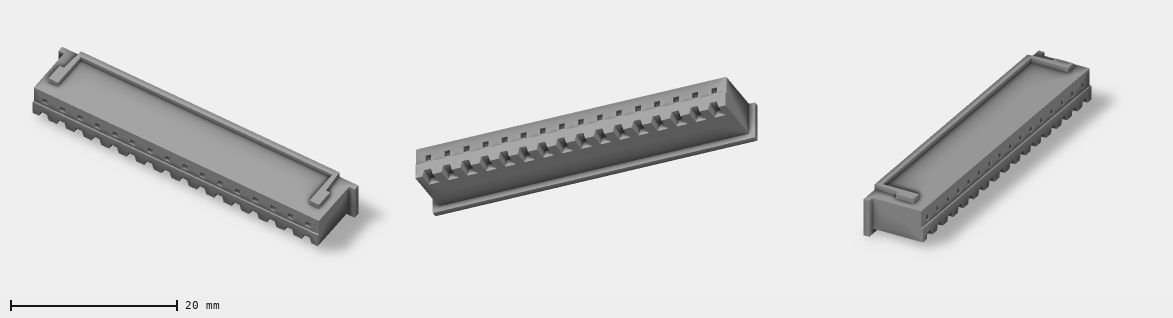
import cadquery as cq
import math

overall_height = 5.7
flange_length = 42.3
flange_height = 4.95
flange_thickness = 0.8

body_length = 40.7
body_bottom = 0.75
upper_depth = 7.5
lower_depth = 7.75
step_height = 2.65

rail_height = overall_height - flange_height
arm_inner_x = 17.95
arm_root_x = 18.45
arm_neck_x = 18.7
arm_foot_x = 19.3
arm_neck_y = -3.4
arm_end_y = -5.85

contact_count = 16
contact_pitch = 2.5

window_size = 0.75
window_center_z = 3.4
window_depth = 0.5

notch_bottom_width = 1.35
notch_height = 0.85
notch_depth = 2.0
notch_side_draft = math.radians(15)
notch_top_width = notch_bottom_width - 2 * notch_height * math.tan(notch_side_draft)


def block(length, depth, bottom, top):
    """Block centred on X that runs forward (-Y) from the back plane."""
    box = cq.Workplane("XY").box(length, depth, top - bottom, centered=(True, False, False))
    return box.translate((0, -depth, bottom))


def housing():
    flange = block(flange_length, flange_thickness, 0, flange_height)
    upper = block(body_length, upper_depth, body_bottom, flange_height)
    lower = block(body_length, lower_depth, body_bottom, step_height)
    return flange.union(upper).union(lower)


def top_rail():
    right_half = [
        (arm_root_x, 0),
        (arm_neck_x, arm_neck_y),
        (arm_foot_x, arm_neck_y),
        (arm_foot_x, arm_end_y),
        (arm_inner_x, arm_end_y),
        (arm_inner_x, -flange_thickness),
    ]
    left_half = [(-x, y) for x, y in reversed(right_half)]
    return (
        cq.Workplane("XY", origin=(0, 0, flange_height))
        .polyline(right_half + left_half)
        .close()
        .extrude(rail_height)
    )


def contact_window(x):
    return (
        cq.Workplane("XZ", origin=(x, -upper_depth, window_center_z))
        .rect(window_size, window_size)
        .extrude(-window_depth)
    )


def contact_notch(x):
    return (
        cq.Workplane("XZ", origin=(x, -lower_depth, body_bottom))
        .polyline(
            [
                (-notch_bottom_width / 2, 0),
                (notch_bottom_width / 2, 0),
                (notch_top_width / 2, notch_height),
                (-notch_top_width / 2, notch_height),
            ]
        )
        .close()
        .extrude(-notch_depth)
    )


result = housing().union(top_rail())
for index in range(contact_count):
    contact_x = (index - (contact_count - 1) / 2) * contact_pitch
    result = result.cut(contact_window(contact_x))
    result = result.cut(contact_notch(contact_x))

result = result.translate((0, lower_depth / 2, -overall_height / 2))